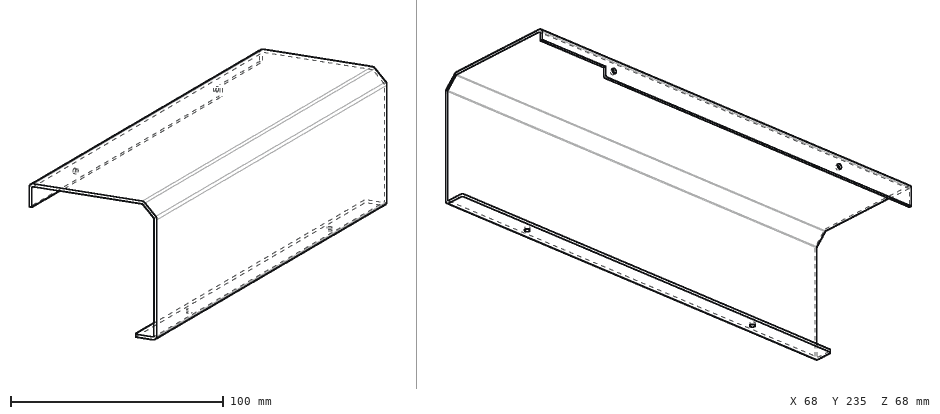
import cadquery as cq

length = 235.0
side = 68.0

thickness = 1.5
inner_bend_radius = 0.7
outer_bend_radius = inner_bend_radius + thickness
corner_leg = 7.0
lip_width = 11.8
lip_corner_radius = 1.2

notch_length = 40.5
notched_lip_width = 6.3

hole_diameter = 2.5
hole_edge_distance = 6.8
hole_end_distance = 45.8

lip_end = side - lip_width
cutter_depth = 2 * thickness
hole_center = side - hole_edge_distance


def outer_prism():
    """Solid bar with the outer outline of the cover and rounded bends."""
    outline = [
        (0, 0),
        (0, side),
        (side - corner_leg, side),
        (side, side - corner_leg),
        (side, 0),
    ]
    bar = cq.Workplane("XZ").polyline(outline).close().extrude(length / 2, both=True)
    return bar.edges("|Y").fillet(outer_bend_radius)


def folded_sheet():
    """Hollow the bar to sheet thickness, then open it between the two lips."""
    tube = outer_prism().faces("<Y or >Y").shell(-thickness)
    opening = cq.Workplane("XY").box(lip_end, length, lip_end, centered=(False, True, False))
    return tube.cut(opening)


def left_lip_notch():
    """Cutter that narrows the left lip near the +Y end."""
    notch_height = lip_width - notched_lip_width
    return (
        cq.Workplane("XY")
        .box(cutter_depth, notch_length, notch_height, centered=False)
        .translate((0, length / 2 - notch_length, lip_end))
    )


def lip_holes():
    """Cutters for the holes through the left and bottom lips."""
    hole_y = length / 2 - hole_end_distance
    centers = [(-hole_y, hole_center), (hole_y, hole_center)]
    left = cq.Workplane("YZ").pushPoints(centers).circle(hole_diameter / 2).extrude(cutter_depth)
    bottom = (
        cq.Workplane("XY")
        .pushPoints([(across, along) for along, across in centers])
        .circle(hole_diameter / 2)
        .extrude(cutter_depth)
    )
    return left.union(bottom)


def round_lip_corners(sheet):
    """Round the free corners: the step of the left lip and both ends of the bottom lip."""
    step_y = length / 2 - notch_length
    left_step = cq.selectors.BoxSelector(
        (-thickness, step_y - thickness, lip_end - thickness),
        (2 * thickness, step_y + thickness, lip_end + thickness),
    )
    bottom_ends = cq.selectors.BoxSelector(
        (lip_end - thickness, -length, -thickness),
        (lip_end + thickness, length, 2 * thickness),
    )
    sheet = sheet.edges("|X").edges(left_step).fillet(lip_corner_radius)
    return sheet.edges("|Z").edges(bottom_ends).fillet(lip_corner_radius)


result = round_lip_corners(folded_sheet().cut(left_lip_notch())).cut(lip_holes())